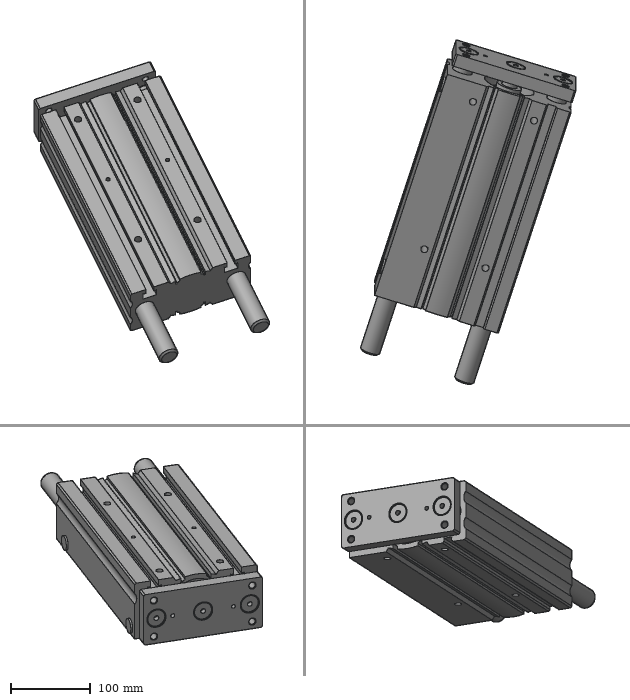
import cadquery as cq

total_length = 409.5
plate_thickness = 16.0
housing_start = 27.5
housing_length = 300.0
housing_end = housing_start + housing_length
piston_end = 314.0

rod_pitch = 123.5
guide_positions = (-rod_pitch / 2, rod_pitch / 2)
guide_diameter = 25.5
piston_diameter = 20.0
rod_tip_chamfer = 2.5
rod_seat_diameter = 23.0
rod_seat_chamfer = 1.2
rod_centre_hole_diameter = 6.0
rod_centre_hole_depth = 8.0

cover_diameter = 64.5
cover_recess = 12.3
cover_thickness = 16.5
cover_boss_diameter = 32.0
cover_start = housing_start + cover_recess
cover_end = cover_start + cover_thickness

plate_width = 157.5
plate_height = 70.5
plate_edge_chamfer = 2.0
plate_screw_pitch_y = 130.2
plate_screw_pitch_z = 50.5
plate_screw_diameter = 8.0
plate_screw_chamfer = 1.0
pin_pitch = 80.3
pin_diameter = 5.0

housing_width = 162.5
housing_height = 78.0
half_width = housing_width / 2
half_height = housing_height / 2
housing_edge_chamfer = 2.0

rib_half_width = 14.5
rib_shoulder_height = 37.3
rib_ledge_height = 34.0
switch_slot_inner = 18.0
switch_slot_inner_height = 31.0
switch_slot_outer = 20.0
switch_slot_floor = 29.5
lip_height = 36.0
valley_half_width = 26.5
valley_height = 34.0
land_half_width = 30.0

t_slot_centre = 55.0
t_slot_opening = 10.5
t_slot_width = 18.0
t_slot_lip = 8.0
t_slot_depth = 18.5

bottom_slot_y = -56.0
bottom_slot_width = 10.5
bottom_slot_mouth = 14.7
bottom_slot_chamfer = (bottom_slot_mouth - bottom_slot_width) / 2
bottom_slot_depth = 6.0

side_groove_centre = 17.0
side_groove_width = 14.7
side_groove_depth = 3.0

mount_hole_pitch_y = pin_pitch
mount_hole_pitch_x = 200.2
mount_hole_first_x = 51.5
mount_hole_diameter = 8.5
locating_hole_x = mount_hole_first_x + mount_hole_pitch_x / 2
locating_hole_depth = 10.0

port_boss_height = 2.5
port_boss_diameter = 19.0
port_boss_z = -28.0
port_boss_positions = (44.2, 291.5)


def profile(y, z):
    """Sketch on the front face of the housing, started at (y, z)."""
    return cq.Workplane("YZ", origin=(housing_start, 0, 0)).moveTo(y, z)


def centre_relief(side):
    """Material removed from the top (side = 1) or bottom (side = -1) face around the centre rib."""
    above = housing_height
    return (
        profile(-land_half_width, side * half_height)
        .lineTo(-valley_half_width, side * valley_height)
        .lineTo(-switch_slot_outer, side * lip_height)
        .lineTo(-switch_slot_outer, side * switch_slot_floor)
        .lineTo(-switch_slot_inner, side * switch_slot_floor)
        .lineTo(-switch_slot_inner, side * switch_slot_inner_height)
        .lineTo(-rib_half_width, side * rib_ledge_height)
        .lineTo(-rib_half_width, side * rib_shoulder_height)
        .threePointArc((0, side * half_height), (rib_half_width, side * rib_shoulder_height))
        .lineTo(rib_half_width, side * rib_ledge_height)
        .lineTo(switch_slot_inner, side * switch_slot_inner_height)
        .lineTo(switch_slot_inner, side * switch_slot_floor)
        .lineTo(switch_slot_outer, side * switch_slot_floor)
        .lineTo(switch_slot_outer, side * lip_height)
        .lineTo(valley_half_width, side * valley_height)
        .lineTo(land_half_width, side * half_height)
        .lineTo(land_half_width, side * above)
        .lineTo(-land_half_width, side * above)
        .close()
        .extrude(housing_length)
    )


def t_slot(y):
    opening = (
        profile(y, half_height - t_slot_depth / 2)
        .rect(t_slot_opening, t_slot_depth)
        .extrude(housing_length)
    )
    undercut_height = t_slot_depth - t_slot_lip
    undercut = (
        profile(y, half_height - t_slot_lip - undercut_height / 2)
        .rect(t_slot_width, undercut_height)
        .extrude(housing_length)
    )
    return opening.union(undercut)


def bottom_slot(y):
    return (
        profile(y - bottom_slot_mouth / 2, -half_height)
        .lineTo(y - bottom_slot_width / 2, -half_height + bottom_slot_chamfer)
        .lineTo(y - bottom_slot_width / 2, -half_height + bottom_slot_depth)
        .lineTo(y + bottom_slot_width / 2, -half_height + bottom_slot_depth)
        .lineTo(y + bottom_slot_width / 2, -half_height + bottom_slot_chamfer)
        .lineTo(y + bottom_slot_mouth / 2, -half_height)
        .close()
        .extrude(housing_length)
    )


def side_groove(side, z):
    face = side * half_width
    return (
        profile(face, z - side_groove_width / 2)
        .threePointArc((face - side * side_groove_depth, z), (face, z + side_groove_width / 2))
        .close()
        .extrude(housing_length)
    )


def x_cylinder(diameter, start, end, y=0.0, z=0.0):
    return cq.Workplane("YZ", origin=(start, y, z)).circle(diameter / 2).extrude(end - start)


def countersink(diameter, size, y, z=0.0):
    """45-degree cone that breaks the rim of a hole at the front face of the plate."""
    radius = diameter / 2
    cone = cq.Solid.makeCone(radius + size, radius, size, cq.Vector(0, y, z), cq.Vector(1, 0, 0))
    return cq.Workplane(obj=cone)


def top_holes(points, diameter, depth):
    return (
        cq.Workplane("XY", origin=(0, 0, half_height))
        .pushPoints(points)
        .circle(diameter / 2)
        .extrude(-depth)
    )


def make_housing():
    body = (
        cq.Workplane("XY")
        .box(housing_length, housing_width, housing_height)
        .edges("|X and (>Z or <Y)")
        .chamfer(housing_edge_chamfer)
        .translate((housing_start + housing_length / 2, 0, 0))
    )
    for side in (1, -1):
        body = body.cut(centre_relief(side))
        body = body.cut(t_slot(side * t_slot_centre))
    body = body.cut(bottom_slot(bottom_slot_y))
    for side, level in ((1, 1), (-1, 1), (-1, -1)):
        body = body.cut(side_groove(side, level * side_groove_centre))

    hole_rows = (-mount_hole_pitch_y / 2, mount_hole_pitch_y / 2)
    mount_columns = (mount_hole_first_x, mount_hole_first_x + mount_hole_pitch_x)
    mount_points = [(x, y) for x in mount_columns for y in hole_rows]
    locating_points = [(locating_hole_x, y) for y in hole_rows]
    body = body.cut(top_holes(mount_points, mount_hole_diameter, housing_height))
    body = body.cut(top_holes(locating_points, pin_diameter, locating_hole_depth))

    for y in guide_positions:
        body = body.cut(x_cylinder(guide_diameter, housing_start, housing_end, y))
    body = body.cut(x_cylinder(piston_diameter, housing_start, piston_end))

    body = body.cut(x_cylinder(cover_diameter, housing_start, cover_end))

    for x in port_boss_positions:
        boss = (
            cq.Workplane("XZ", origin=(x, half_width, port_boss_z))
            .circle(port_boss_diameter / 2)
            .extrude(-port_boss_height)
        )
        body = body.union(boss)
    return body


def make_plate():
    plate = (
        cq.Workplane("XY")
        .box(plate_thickness, plate_width, plate_height)
        .edges("|X")
        .chamfer(plate_edge_chamfer)
        .translate((plate_thickness / 2, 0, 0))
    )
    for y in (-plate_screw_pitch_y / 2, plate_screw_pitch_y / 2):
        for z in (-plate_screw_pitch_z / 2, plate_screw_pitch_z / 2):
            plate = plate.cut(x_cylinder(plate_screw_diameter, 0, plate_thickness, y, z))
            plate = plate.cut(countersink(plate_screw_diameter, plate_screw_chamfer, y, z))
    for y in (0.0, *guide_positions):
        plate = plate.cut(x_cylinder(rod_seat_diameter, 0, plate_thickness, y))
        plate = plate.cut(countersink(rod_seat_diameter, rod_seat_chamfer, y))
    for side in (1, -1):
        plate = plate.cut(x_cylinder(pin_diameter, 0, plate_thickness, side * pin_pitch / 2))
    return plate


def make_rod(diameter, end, y):
    """Rod with a seat in the plate, flush with the plate's front face, and a blind centre hole."""
    seat = x_cylinder(rod_seat_diameter, 0, plate_thickness, y)
    shank = x_cylinder(diameter, plate_thickness, end, y)
    centre_hole = x_cylinder(rod_centre_hole_diameter, 0, rod_centre_hole_depth, y)
    return seat.union(shank).cut(centre_hole)


def make_guide_rod(y):
    return make_rod(guide_diameter, total_length, y).faces(">X").chamfer(rod_tip_chamfer)


def make_piston_rod():
    return make_rod(piston_diameter, piston_end, 0)


def make_rod_cover():
    disc = x_cylinder(cover_diameter, cover_start, cover_end)
    boss = x_cylinder(cover_boss_diameter, housing_start, cover_start)
    return disc.union(boss).cut(x_cylinder(piston_diameter, housing_start, cover_end))


housing = make_housing()
plate = make_plate()
rod_cover = make_rod_cover()
piston_rod = make_piston_rod()
guide_rods = [make_guide_rod(y) for y in guide_positions]

result = cq.Compound.makeCompound(
    [housing.val(), rod_cover.val(), plate.val(), piston_rod.val(), *[rod.val() for rod in guide_rods]]
)